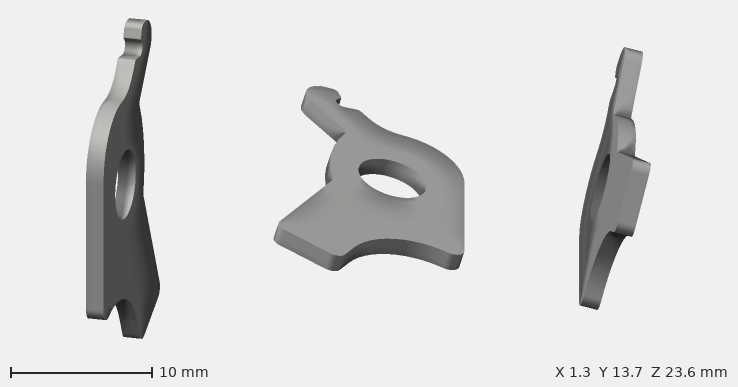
import cadquery as cq
import math


thickness = 1.3
pivot_diameter = 5.0

front_edge_y = -5.31
shoulder_radius = 4.5
shoulder_center = (front_edge_y + shoulder_radius, 2.0)

neck_radius = 3.33
neck_center = (shoulder_center[0], shoulder_center[1] + shoulder_radius + neck_radius)

arm_angle = math.radians(50)
head_center = (4.91, 9.13)
head_radius = 1.46
hook_front_angle = math.radians(70)
hook_top_corner = (4.10, head_center[1] + head_radius)
throat_center = (3.57, 9.0)
throat_radius = 0.58
ledge_angle = math.radians(-5.5)

back_center = (-5.4, 0.1)
back_radius = 10.0

tail_angle = math.atan2(-2, 1)
tail_rear_offset = 2.87
tail_front_offset = -2.5
tail_length = 13.61

clearance_center_y = -2.1
clearance_radius = 5.5

tail_corner_radius = 0.8
foot_radius = 0.9
waist_radius = 0.7
arm_root_radius = 0.4
ledge_corner_radius = 0.25
hook_top_radius = 0.5
hook_tip_radius = 0.11


def direction(angle):
    return (math.cos(angle), math.sin(angle))


def shifted(point, heading, distance):
    return (point[0] + heading[0] * distance, point[1] + heading[1] * distance)


def polar(center, radius, angle):
    return shifted(center, direction(angle), radius)


def angle_from(center, point):
    return math.atan2(point[1] - center[1], point[0] - center[0])


def arc_middle(center, radius, start, end):
    """Middle point of the shorter arc between two points on a circle."""
    chord_middle = ((start[0] + end[0]) / 2, (start[1] + end[1]) / 2)
    return polar(center, radius, angle_from(center, chord_middle))


def line_meets_circle(point, heading, center, radius, side):
    """Crossing of a line and a circle: the first along heading for side -1, the last for +1."""
    to_center = (center[0] - point[0], center[1] - point[1])
    along = to_center[0] * heading[0] + to_center[1] * heading[1]
    across = to_center[0] * heading[1] - to_center[1] * heading[0]
    half_chord = math.sqrt(radius**2 - across**2)
    return shifted(point, heading, along + side * half_chord)


def line_meets_line(point_a, heading_a, point_b, heading_b):
    gap = (point_b[0] - point_a[0], point_b[1] - point_a[1])
    cross = heading_a[0] * heading_b[1] - heading_a[1] * heading_b[0]
    distance = (gap[0] * heading_b[1] - gap[1] * heading_b[0]) / cross
    return shifted(point_a, heading_a, distance)


tail_down = direction(tail_angle)
tail_rear_angle = tail_angle + math.pi / 2
tail_rear = direction(tail_rear_angle)
tail_rear_root = shifted((0, 0), tail_rear, tail_rear_offset)
tail_front_root = shifted((0, 0), tail_rear, tail_front_offset)
tail_rear_corner = shifted(tail_rear_root, tail_down, tail_length)
tail_front_corner = shifted(tail_front_root, tail_down, tail_length)
waist = line_meets_circle(tail_rear_root, tail_down, back_center, back_radius, 1)

clearance_axis_point = shifted((0, 0), tail_rear, tail_front_offset - clearance_radius)
clearance_center = line_meets_line(clearance_axis_point, tail_down, (clearance_center_y, 0), (0, 1))
clearance_start = polar(clearance_center, clearance_radius, tail_rear_angle)
foot = line_meets_circle((front_edge_y, 0), (0, -1), clearance_center, clearance_radius, -1)

shoulder_start = (front_edge_y, shoulder_center[1])
shoulder_top = (shoulder_center[0], shoulder_center[1] + shoulder_radius)

arm_up = direction(arm_angle)
arm_front_start = polar(neck_center, neck_radius, arm_angle - math.pi / 2)
throat_bottom = polar(throat_center, throat_radius, ledge_angle - math.pi / 2)
ledge_corner = line_meets_line(arm_front_start, arm_up, throat_bottom, direction(ledge_angle))
hook_front = direction(hook_front_angle + math.pi)
hook_tip = line_meets_circle(hook_top_corner, hook_front, throat_center, throat_radius, -1)
head_top = (head_center[0], head_center[1] + head_radius)
head_rear = (head_center[0] + head_radius, head_center[1])
arm_rear_start = polar(head_center, head_radius, arm_angle - math.pi / 2)
arm_root = line_meets_circle(arm_rear_start, direction(arm_angle + math.pi), back_center, back_radius, -1)
throat_rear = (throat_center[0] + throat_radius, throat_center[1])


def sharp_plate():
    """Plate outline with its corners left sharp."""
    shoulder_middle = arc_middle(shoulder_center, shoulder_radius, shoulder_start, shoulder_top)
    neck_middle = arc_middle(neck_center, neck_radius, shoulder_top, arm_front_start)
    back_middle = arc_middle(back_center, back_radius, arm_root, waist)
    clearance_middle = arc_middle(clearance_center, clearance_radius, clearance_start, foot)
    return (
        cq.Workplane("YZ")
        .moveTo(*foot)
        .lineTo(*shoulder_start)
        .threePointArc(shoulder_middle, shoulder_top)
        .threePointArc(neck_middle, arm_front_start)
        .lineTo(*ledge_corner)
        .lineTo(*throat_bottom)
        .threePointArc(throat_rear, hook_tip)
        .lineTo(*hook_top_corner)
        .lineTo(*head_top)
        .threePointArc(head_rear, arm_rear_start)
        .lineTo(*arm_root)
        .threePointArc(back_middle, waist)
        .lineTo(*tail_rear_corner)
        .lineTo(*tail_front_corner)
        .lineTo(*clearance_start)
        .threePointArc(clearance_middle, foot)
        .close()
        .extrude(thickness / 2, both=True)
    )


def round_corner(plate, corner, radius):
    """Round the edge that runs through the thickness at a corner of the outline."""
    nearest = cq.NearestToPointSelector((0, corner[0], corner[1]))
    return plate.edges("|X").edges(nearest).fillet(radius)


def drill_pivot(plate):
    return plate.faces(">X").workplane(origin=(0, 0, 0)).hole(pivot_diameter)


corner_rounds = [
    (foot, foot_radius),
    (tail_rear_corner, tail_corner_radius),
    (tail_front_corner, tail_corner_radius),
    (waist, waist_radius),
    (arm_root, arm_root_radius),
    (ledge_corner, ledge_corner_radius),
    (hook_tip, hook_tip_radius),
    (hook_top_corner, hook_top_radius),
]

result = sharp_plate()
for corner, radius in corner_rounds:
    result = round_corner(result, corner, radius)
result = drill_pivot(result)